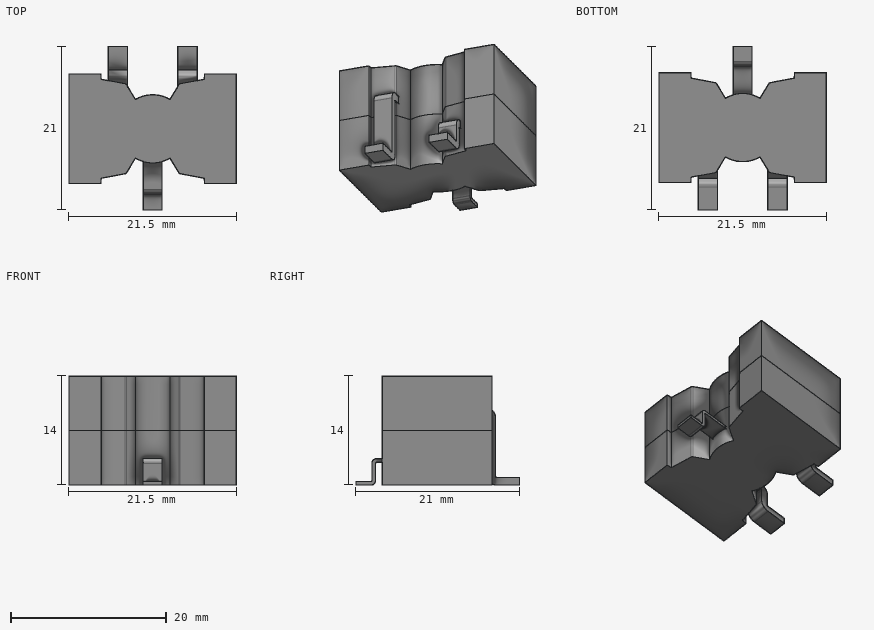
import cadquery as cq
import math

core_half_x = 10.75
core_half_y = 7.05
core_height = 14.0
split_z = core_height / 2
waist_radius = 4.39
waist_corner_x = 2.21
waist_corner_y = math.sqrt(waist_radius**2 - waist_corner_x**2)
knee_x = 3.42
knee_y = 5.76
knee_radius = 0.25
step_x = 6.6
step_y = 6.36
step_draft = 0.05

terminal_thickness = 1.0
terminal_width = 2.52
terminal_x = 4.47
terminal_tip_y = 10.58
terminal_face_y = 7.52
short_terminal_top = 4.43
tall_terminal_top = 9.8

tab_thickness = 0.5
tab_width = 2.43
tab_tip_y = 10.43
tab_face_y = 8.38
bend_inner_radius = 0.1

coil_bottom = short_terminal_top - terminal_thickness
coil_top = tall_terminal_top
coil_outer_radius = 3.95
coil_inner_radius = terminal_x - terminal_width / 2
tab_top = coil_bottom
tab_root_y = coil_inner_radius


def core_outline():
    """Closed outline of the core: the +Y edge, then the same edge turned half a turn."""
    def edge(outline, side):
        return (
            outline.lineTo(-side * core_half_x, side * core_half_y)
            .lineTo(-side * (step_x + step_draft), side * core_half_y)
            .lineTo(-side * step_x, side * step_y)
            .lineTo(-side * knee_x, side * knee_y)
            .lineTo(-side * waist_corner_x, side * waist_corner_y)
            .threePointArc((0, side * waist_radius), (side * waist_corner_x, side * waist_corner_y))
            .lineTo(side * knee_x, side * knee_y)
            .lineTo(side * step_x, side * step_y)
            .lineTo(side * (step_x + step_draft), side * core_half_y)
            .lineTo(side * core_half_x, side * core_half_y)
        )

    outline = cq.Workplane("XY").moveTo(-core_half_x, 0)
    return edge(edge(outline, 1), -1).close()


def core_half(bottom_z, winding):
    """One half of the core, hollowed to fit the winding."""
    blank = core_outline().extrude(split_z).translate((0, 0, bottom_z))
    for x_sign in (-1, 1):
        for y_sign in (-1, 1):
            knee = cq.selectors.NearestToPointSelector(
                (x_sign * knee_x, y_sign * knee_y, bottom_z + split_z / 2)
            )
            blank = blank.edges(knee).fillet(knee_radius)
    return blank.cut(winding)


def bent_strip(root_y, face_y, tip_y, top_z, thickness, width):
    """Z-shaped strip centred on X: flat at top_z, down an upright, out along Z = 0 towards +Y."""
    back_y = face_y - thickness
    strip = (
        cq.Workplane("YZ")
        .moveTo(root_y, top_z)
        .lineTo(face_y, top_z)
        .lineTo(face_y, thickness)
        .lineTo(tip_y, thickness)
        .lineTo(tip_y, 0)
        .lineTo(back_y, 0)
        .lineTo(back_y, top_z - thickness)
        .lineTo(root_y, top_z - thickness)
        .close()
        .extrude(width / 2, both=True)
    )
    bends = (
        (face_y, top_z, bend_inner_radius + thickness),
        (back_y, 0, bend_inner_radius + thickness),
        (face_y, thickness, bend_inner_radius),
        (back_y, top_z - thickness, bend_inner_radius),
    )
    for corner_y, corner_z, radius in bends:
        corner = cq.selectors.NearestToPointSelector((0, corner_y, corner_z))
        strip = strip.edges("|X").edges(corner).fillet(radius)
    return strip


def terminal(x, top_z):
    """Terminal leaving the ring tangentially and bent down to a foot on the +Y side."""
    strip = bent_strip(0, terminal_face_y, terminal_tip_y, top_z, terminal_thickness, terminal_width)
    return strip.translate((x, 0, 0))


def tab():
    """Thin tab under the ring, bent down to a foot on the -Y side."""
    strip = bent_strip(tab_root_y, tab_face_y, tab_tip_y, tab_top, tab_thickness, tab_width)
    return strip.mirror("XZ")


def make_winding():
    """Ring, both terminals and the tab as one conductor."""
    ring = (
        cq.Workplane("XY", origin=(0, 0, coil_bottom))
        .circle(coil_outer_radius)
        .circle(coil_inner_radius)
        .extrude(coil_top - coil_bottom)
    )
    short_terminal = terminal(-terminal_x, short_terminal_top)
    tall_terminal = terminal(terminal_x, tall_terminal_top)
    return ring.union(short_terminal).union(tall_terminal).union(tab())


winding = make_winding()
lower_core = core_half(0, winding)
upper_core = core_half(split_z, winding)

result = cq.Compound.makeCompound([lower_core.val(), upper_core.val(), winding.val()])